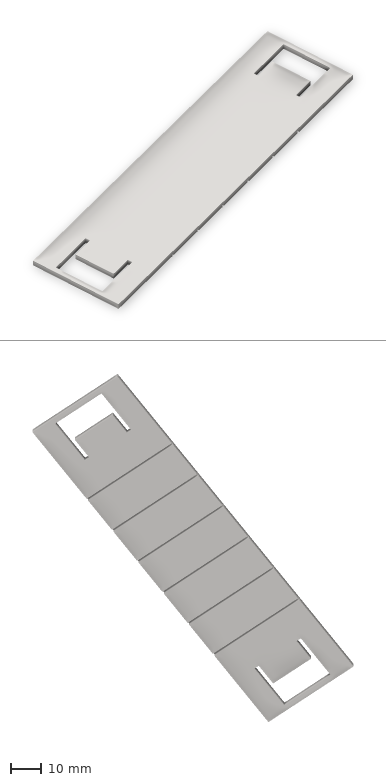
import cadquery as cq

width = 35.0
length = 133.0
thickness = 2.1

window_width = 19.0
window_length = 16.9
end_margin = 1.9
side_gap = 1.7
tongue_length = 8.1
tongue_width = window_width - 2 * side_gap

groove_count = 6
groove_pitch = 14.2
groove_width = 0.8
groove_depth = 1.0


def end_window(end):
    """U-shaped through cutter at the +Y (end = 1) or -Y (end = -1) end."""
    outer_y = length / 2 - end_margin
    inner_y = outer_y - window_length
    opening = (
        cq.Workplane("XY")
        .center(0, end * (outer_y + inner_y) / 2)
        .rect(window_width, window_length)
        .extrude(thickness)
    )
    tongue = (
        cq.Workplane("XY")
        .center(0, end * (inner_y + tongue_length / 2))
        .rect(tongue_width, tongue_length)
        .extrude(thickness)
    )
    return opening.cut(tongue)


def underside_grooves():
    """Evenly spaced groove cutters running across the full width."""
    return (
        cq.Workplane("XY")
        .rarray(1.3, groove_pitch, 1, groove_count)
        .rect(width, groove_width)
        .extrude(groove_depth)
    )


result = cq.Workplane("XY").rect(width, length).extrude(thickness)
for end in (1, -1):
    result = result.cut(end_window(end))
result = result.cut(underside_grooves())